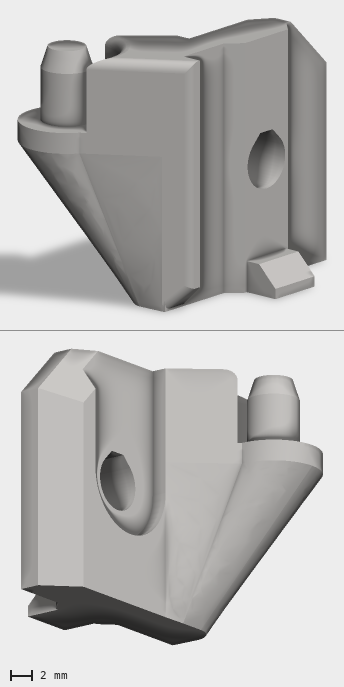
import cadquery as cq
import math

HEIGHT = 24.0
COLLAR_BOTTOM = 14.94
COLLAR_TOP = 16.95
PIN_CONE_BASE = 22.0

COLLAR_RADIUS = 4.55
PIN_X = COLLAR_RADIUS
PIN_Y = COLLAR_RADIUS
PIN_RADIUS = 4.9 / 2
PIN_TIP_RADIUS = 1.8
CAVITY_RADIUS = 4.85

LENGTH = 29
FACE_X = 10.0
BACK_X = 15.0
END_CHAMFER = 3.0
TOP_CHAMFER = 5.0
PAD_X = 16.38
PAD_SLOPE = PAD_X - BACK_X
EDGE_RADIUS = 1.0

CENTER_Y = 19.0
CENTER_Z = 12.0
RECESS_RADIUS = 5.25
RECESS_DEPTH = 1.5
HOLE_RADIUS = 2.65
HOLE_FLAT_RISE = 2.87
PAD_HALF_WIDTH = 3.02
TONGUE_X = 19.9
TONGUE_WIDTH = 5.5
TONGUE_HEIGHT = 3.0
TONGUE_CHAMFER = 2.0

ARM_START_Y = CENTER_Y - RECESS_RADIUS
ARM_SIDE_ANGLE = math.radians(41.2)
WEB_ANGLE = math.radians(33)
HOOK_X = 17.0
HOOK_TOP_Y = 8.95
HOOK_CORNER_Y = 7.63
HOOK_CHAMFER = 2.2

SUPPORT_RIGHT_X = 14.8
FOOT_LEFT_X = 9.95
FOOT_SIDE_Y = 11.2
FOOT_FRONT_X = 12.0
FOOT_FRONT_Y = 6.2
FOOT_ARC_Y = 8.55

MARGIN = 0.3


def web_y(x):
    """Y of the slanted outer face of the arm."""
    return HOOK_CORNER_Y - (HOOK_X - x) * math.tan(WEB_ANGLE)


def collar_crossing(point, angle):
    """First crossing with the collar circle when walking from point towards lower X and Y."""
    dx = point[0] - PIN_X
    dy = point[1] - PIN_Y
    along = dx * math.cos(angle) + dy * math.sin(angle)
    offset_squared = dx**2 + dy**2 - along**2
    distance = along - math.sqrt(COLLAR_RADIUS**2 - offset_squared)
    return (point[0] - distance * math.cos(angle), point[1] - distance * math.sin(angle))


ARM_START = (FACE_X, ARM_START_Y)
SIDE_POINT = collar_crossing(ARM_START, ARM_SIDE_ANGLE)
WEB_POINT = collar_crossing((HOOK_X, HOOK_CORNER_Y), WEB_ANGLE)


def edges_within(low_corner, high_corner):
    """Selector for the edges whose centres lie in a box."""
    return cq.selectors.BoxSelector(low_corner, high_corner)


def block(x0, x1, y0, y1, z0, z1):
    return cq.Workplane("XY").box(x1 - x0, y1 - y0, z1 - z0, centered=False).translate((x0, y0, z0))


def cylinder(radius, z0, z1):
    return cq.Workplane("XY", origin=(PIN_X, PIN_Y, z0)).circle(radius).extrude(z1 - z0)


def make_plate():
    plate = (
        cq.Workplane("XY")
        .moveTo(*ARM_START)
        .lineTo(FACE_X, LENGTH)
        .lineTo(BACK_X, LENGTH)
        .lineTo(BACK_X, CENTER_Y + PAD_HALF_WIDTH + PAD_SLOPE)
        .lineTo(PAD_X, CENTER_Y + PAD_HALF_WIDTH)
        .lineTo(PAD_X, CENTER_Y - PAD_HALF_WIDTH)
        .lineTo(BACK_X, CENTER_Y - PAD_HALF_WIDTH - PAD_SLOPE)
        .lineTo(BACK_X, ARM_START_Y)
        .close()
        .extrude(HEIGHT)
    )
    corner = (
        cq.Workplane("YZ")
        .polyline([(LENGTH - TOP_CHAMFER, HEIGHT), (LENGTH, HEIGHT), (LENGTH, HEIGHT - TOP_CHAMFER)])
        .close()
        .extrude(TONGUE_X)
    )
    end_edges = edges_within(
        (FACE_X - MARGIN, LENGTH - TOP_CHAMFER, MARGIN), (FACE_X + MARGIN, LENGTH + MARGIN, HEIGHT)
    )
    return plate.cut(corner).edges(end_edges).chamfer(END_CHAMFER)


def make_arm():
    """Upper arm with the clearance for the mating part above the collar."""
    outline = [
        ARM_START, SIDE_POINT, (PIN_X, PIN_Y), WEB_POINT,
        (HOOK_X, HOOK_CORNER_Y), (HOOK_X, HOOK_TOP_Y), (BACK_X, HOOK_TOP_Y), (BACK_X, ARM_START_Y),
    ]
    arm = cq.Workplane("XY").polyline(outline).close().extrude(HEIGHT)
    below_arm = block(0, SUPPORT_RIGHT_X, 0, ARM_START_Y, 0, COLLAR_BOTTOM)
    hook_corner = (
        cq.Workplane("XZ")
        .polyline([(HOOK_X - HOOK_CHAMFER, 0), (HOOK_X, 0), (HOOK_X, HOOK_CHAMFER)])
        .close()
        .extrude(-ARM_START_Y)
    )
    arm = arm.cut(cylinder(CAVITY_RADIUS, COLLAR_TOP, HEIGHT))
    arm = arm.cut(hook_corner)
    hook_front = edges_within(
        (HOOK_X - MARGIN, HOOK_CORNER_Y - MARGIN, 0), (HOOK_X + MARGIN, HOOK_CORNER_Y + MARGIN, HEIGHT)
    )
    top_rims = edges_within((PIN_X, 0, HEIGHT - MARGIN), (SUPPORT_RIGHT_X, HOOK_TOP_Y, HEIGHT + MARGIN))
    hook_bottom = edges_within((SUPPORT_RIGHT_X, 0, MARGIN), (HOOK_X - MARGIN, HOOK_CORNER_Y, HOOK_CHAMFER))
    arm = arm.edges(hook_front + top_rims + hook_bottom).fillet(EDGE_RADIUS)
    return arm.cut(below_arm)


def make_support():
    """Ruled taper from the collar and arm outline down to the small foot."""

    def collar_point(degrees):
        angle = math.radians(degrees)
        return (PIN_X + COLLAR_RADIUS * math.cos(angle), PIN_Y + COLLAR_RADIUS * math.sin(angle))

    return (
        cq.Workplane("XY")
        .moveTo(BACK_X, ARM_START_Y)
        .lineTo(FACE_X, ARM_START_Y)
        .lineTo(FOOT_LEFT_X, FOOT_SIDE_Y)
        .lineTo(FOOT_LEFT_X, FOOT_ARC_Y)
        .tangentArcPoint((FOOT_FRONT_X, FOOT_FRONT_Y), relative=False)
        .lineTo(BACK_X, web_y(BACK_X))
        .close()
        .workplane(offset=COLLAR_BOTTOM)
        .moveTo(BACK_X, ARM_START_Y)
        .lineTo(FACE_X, ARM_START_Y)
        .lineTo(*SIDE_POINT)
        .threePointArc(collar_point(135), collar_point(180))
        .threePointArc(collar_point(225), WEB_POINT)
        .lineTo(BACK_X, web_y(BACK_X))
        .close()
        .loft(ruled=True)
    )


def make_pin():
    """Collar and pin turned about one axis, with a tapered tip."""
    profile = [
        (0, COLLAR_BOTTOM), (COLLAR_RADIUS, COLLAR_BOTTOM), (COLLAR_RADIUS, COLLAR_TOP),
        (PIN_RADIUS, COLLAR_TOP), (PIN_RADIUS, PIN_CONE_BASE), (PIN_TIP_RADIUS, HEIGHT), (0, HEIGHT),
    ]
    pin = cq.Workplane("XZ").polyline(profile).close().revolve(360, (0, 0, 0), (0, 1, 0))
    return pin.translate((PIN_X, PIN_Y, 0))


def make_tongue():
    return (
        block(BACK_X, TONGUE_X, CENTER_Y - TONGUE_WIDTH / 2, CENTER_Y + TONGUE_WIDTH / 2, 0, TONGUE_HEIGHT)
        .edges(">X and >Z")
        .chamfer(TONGUE_CHAMFER)
    )


def make_recess():
    """Round-bottomed recess, open at the top."""
    return (
        cq.Workplane("YZ", origin=(FACE_X, CENTER_Y, CENTER_Z))
        .moveTo(-RECESS_RADIUS, HEIGHT - CENTER_Z)
        .lineTo(-RECESS_RADIUS, 0)
        .threePointArc((0, -RECESS_RADIUS), (RECESS_RADIUS, 0))
        .lineTo(RECESS_RADIUS, HEIGHT - CENTER_Z)
        .close()
        .extrude(RECESS_DEPTH)
    )


def make_hole():
    """Through hole whose roof is two 45 degree flanks and a flat."""
    tangent = HOLE_RADIUS / math.sqrt(2)
    flat_half_width = HOLE_RADIUS * math.sqrt(2) - HOLE_FLAT_RISE
    return (
        cq.Workplane("YZ", origin=(0, CENTER_Y, CENTER_Z))
        .moveTo(-tangent, tangent)
        .threePointArc((0, -HOLE_RADIUS), (tangent, tangent))
        .lineTo(flat_half_width, HOLE_FLAT_RISE)
        .lineTo(-flat_half_width, HOLE_FLAT_RISE)
        .close()
        .extrude(TONGUE_X)
    )


result = make_plate().union(make_arm()).union(make_support()).union(make_pin()).union(make_tongue())
result = result.cut(make_recess()).cut(make_hole())